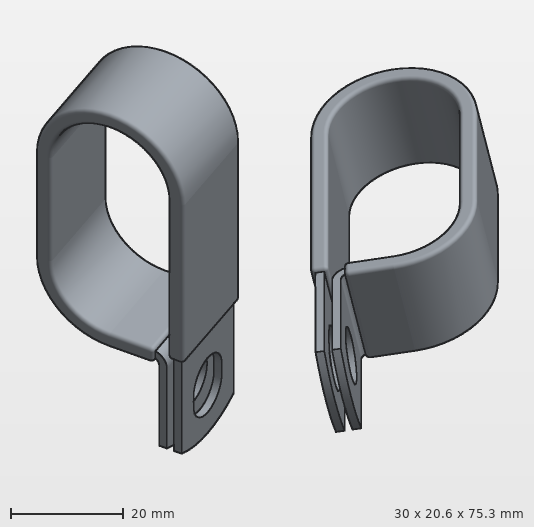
import cadquery as cq
import math


strap_thickness = 1.5875
strap_width = 19.05
leg_gap = 1.4
bend_inner_radius = 1.5
leg_tip_z = -60.3
tip_arc_rise = 2.2
hole_diameter = 10.32
slot_length = 12.55
hole_above_tip = 11.1

cushion_wall = 0.79375
loop_outer_radius = 15.01
straight_height = 23.81
floor_end_x = 8.9
side_end_z = -36.6

cushion_thickness = strap_thickness + 2 * cushion_wall
cushion_width = strap_width + 2 * cushion_wall
fillet_clearance = 0.004
fillet_radius = cushion_wall - fillet_clearance

lower_z = -straight_height
strap_outer_radius = loop_outer_radius - cushion_wall
strap_inner_radius = strap_outer_radius - strap_thickness
inner_leg_x = strap_inner_radius - leg_gap
bend_center_x = inner_leg_x - strap_thickness - bend_inner_radius
bend_center_z = lower_z - strap_outer_radius - bend_inner_radius
bend_outer_radius = bend_inner_radius + strap_thickness


def arc_point(center_x, center_z, radius, degrees):
    angle = math.radians(degrees)
    return (center_x + radius * math.cos(angle), center_z + radius * math.sin(angle))


def extrude_across(outline, width):
    """Extrude an XZ outline symmetrically about Y = 0."""
    return outline.close().extrude(width / 2, both=True)


def loop_outside(radius, start_z):
    """Outer side of the loop, from the long side over the top and down to the floor."""
    return (
        cq.Workplane("XZ")
        .moveTo(radius, start_z)
        .lineTo(radius, 0)
        .threePointArc((0, radius), (-radius, 0))
        .lineTo(-radius, lower_z)
        .threePointArc(arc_point(0, lower_z, radius, 225), (0, lower_z - radius))
    )


def loop_inside(outline, radius, end_z):
    """Inner side of the loop, from the floor back up and over to the long side."""
    return (
        outline.lineTo(0, lower_z - radius)
        .threePointArc(arc_point(0, lower_z, radius, 225), (-radius, lower_z))
        .lineTo(-radius, 0)
        .threePointArc((0, radius), (radius, 0))
        .lineTo(radius, end_z)
    )


def end_edges(body, point):
    """Edges along Y of the end face nearest to the point."""
    return body.faces(cq.NearestToPointSelector(point)).edges("|Y").vals()


def make_cushion():
    inner_radius = loop_outer_radius - cushion_thickness
    outline = (
        loop_outside(loop_outer_radius, side_end_z)
        .lineTo(floor_end_x, lower_z - loop_outer_radius)
        .lineTo(floor_end_x, lower_z - inner_radius)
    )
    body = extrude_across(loop_inside(outline, inner_radius, side_end_z), cushion_width)
    middle = cushion_thickness / 2
    floor_end = end_edges(body, (floor_end_x, 0, lower_z - loop_outer_radius + middle))
    side_end = end_edges(body, (loop_outer_radius - middle, 0, side_end_z))
    rims = body.faces("<Y or >Y").edges().vals()
    return body.newObject(rims + floor_end + side_end).fillet(fillet_radius)


def make_strap():
    outline = (
        loop_outside(strap_outer_radius, leg_tip_z)
        .lineTo(bend_center_x, lower_z - strap_outer_radius)
        .threePointArc(
            arc_point(bend_center_x, bend_center_z, bend_inner_radius, 45),
            (bend_center_x + bend_inner_radius, bend_center_z),
        )
        .lineTo(inner_leg_x - strap_thickness, leg_tip_z)
        .lineTo(inner_leg_x, leg_tip_z)
        .lineTo(inner_leg_x, bend_center_z)
        .threePointArc(
            arc_point(bend_center_x, bend_center_z, bend_outer_radius, 45),
            (bend_center_x, lower_z - strap_inner_radius),
        )
    )
    return extrude_across(loop_inside(outline, strap_inner_radius, leg_tip_z), strap_width)


def leg_profile():
    """Side silhouette of the strap: straight edges and an arched tip."""
    half_width = strap_width / 2
    shoulder_z = leg_tip_z + tip_arc_rise
    return (
        cq.Workplane("YZ")
        .moveTo(-half_width, loop_outer_radius)
        .lineTo(-half_width, shoulder_z)
        .threePointArc((0, leg_tip_z), (half_width, shoulder_z))
        .lineTo(half_width, loop_outer_radius)
        .close()
        .extrude(loop_outer_radius, both=True)
    )


def leg_plane(leg_outer_x):
    """Workplane at the bolt axis on the +X face of a leg."""
    return cq.Workplane("YZ", origin=(leg_outer_x, 0, leg_tip_z + hole_above_tip))


def make_bolt_openings():
    """Round hole through the inner leg and upright slot through the outer leg."""
    hole = leg_plane(inner_leg_x).circle(hole_diameter / 2)
    slot = leg_plane(strap_outer_radius).slot2D(slot_length, hole_diameter, 90)
    return hole.extrude(-strap_thickness).union(slot.extrude(-strap_thickness))


strap = make_strap().intersect(leg_profile()).cut(make_bolt_openings())
result = make_cushion().union(strap)